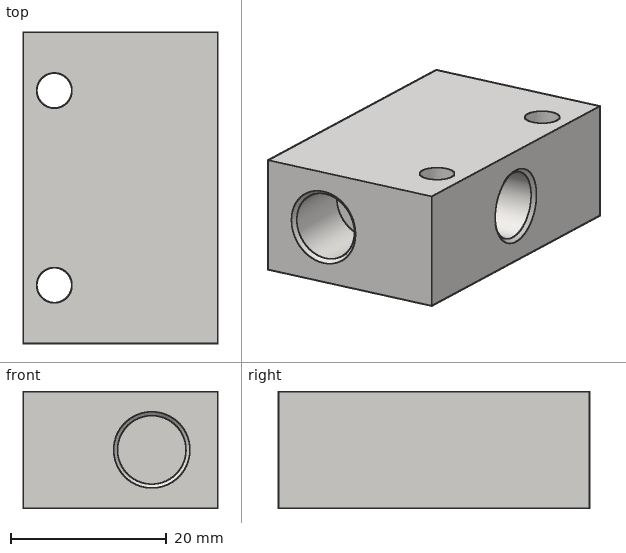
import cadquery as cq

length = 40.0
width = 25.0
height = 15.0

port_diameter = 8.8
port_mouth_diameter = 9.8
port_chamfer = (port_mouth_diameter - port_diameter) / 2
port_depth = 10.0
end_port_from_side = 16.5
end_port_x = end_port_from_side - width / 2

mount_diameter = 4.5
mount_from_side = 4.0
mount_spacing = 25.0
mount_x = mount_from_side - width / 2


def port_cutter(mouth_centre, inward):
    """Blind bore running inward from a face, widened by a 45 degree mouth."""
    centre = cq.Vector(*mouth_centre)
    direction = cq.Vector(*inward)
    bore = cq.Solid.makeCylinder(port_diameter / 2, port_depth, centre, direction)
    mouth = cq.Solid.makeCone(
        port_mouth_diameter / 2, port_diameter / 2, port_chamfer, centre, direction
    )
    return bore.fuse(mouth)


def make_housing():
    """Rectangular block with a port in each end, a side port and two mounting holes."""
    block = cq.Workplane("XY").box(width, length, height)

    for end in (-1, 1):
        block = block.cut(port_cutter((end_port_x, end * length / 2, 0), (0, -end, 0)))

    block = block.cut(port_cutter((-width / 2, 0, 0), (1, 0, 0)))

    mount_places = [(mount_x, end * mount_spacing / 2) for end in (-1, 1)]
    return (
        block.faces(">Z")
        .workplane(origin=(0, 0, 0))
        .pushPoints(mount_places)
        .hole(mount_diameter)
    )


housing = make_housing().solids()

result = cq.Compound.makeCompound([housing.val()])